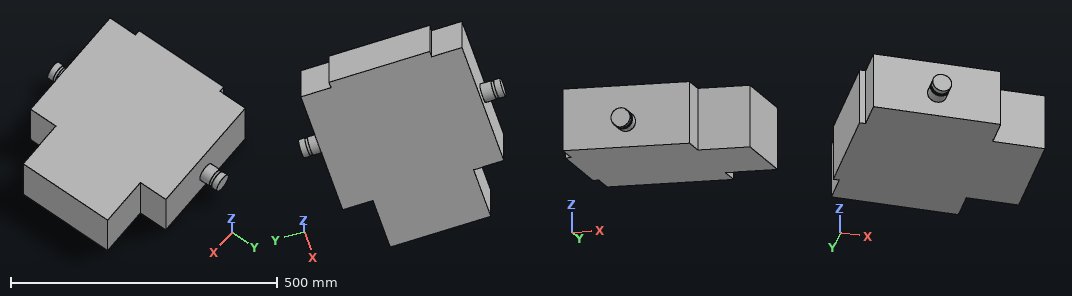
import cadquery as cq

height = 119.0
long_block_length = 360.0
long_block_width = 200.0
cross_block_length = 247.0
cross_block_width = 320.0
cross_block_offset = 11.5

overall_width = 400.0
stub_length = (overall_width - cross_block_width) / 2
stub_diameter = 37.0
groove_diameter = 34.0
groove_width = 5.0
collar_length = 13.0
stub_x = 135.0
stub_z = 48.5


def block(x_start, length, width):
    """Full-height block centred on Y = 0, resting on Z = 0."""
    solid = cq.Workplane("XY").box(length, width, height, centered=(False, True, False))
    return solid.translate((x_start, 0, 0))


def stub(side):
    """Revolved stub pointing outward along Y; side is -1 or +1."""
    outer_radius = stub_diameter / 2
    groove_radius = groove_diameter / 2
    root = cross_block_width / 2
    tip = root + stub_length
    groove_end = tip - collar_length
    groove_start = groove_end - groove_width
    profile = [
        (0, root),
        (outer_radius, root),
        (outer_radius, groove_start),
        (groove_radius, groove_start),
        (groove_radius, groove_end),
        (outer_radius, groove_end),
        (outer_radius, tip),
        (0, tip),
    ]
    outline = [(radius, side * distance) for radius, distance in profile]
    solid = cq.Workplane("XY").polyline(outline).close().revolve(360, (0, 0, 0), (0, 1, 0))
    return solid.translate((stub_x, 0, stub_z))


result = block(0, long_block_length, long_block_width)
result = result.union(block(cross_block_offset, cross_block_length, cross_block_width))
for side in (-1, 1):
    result = result.union(stub(side))